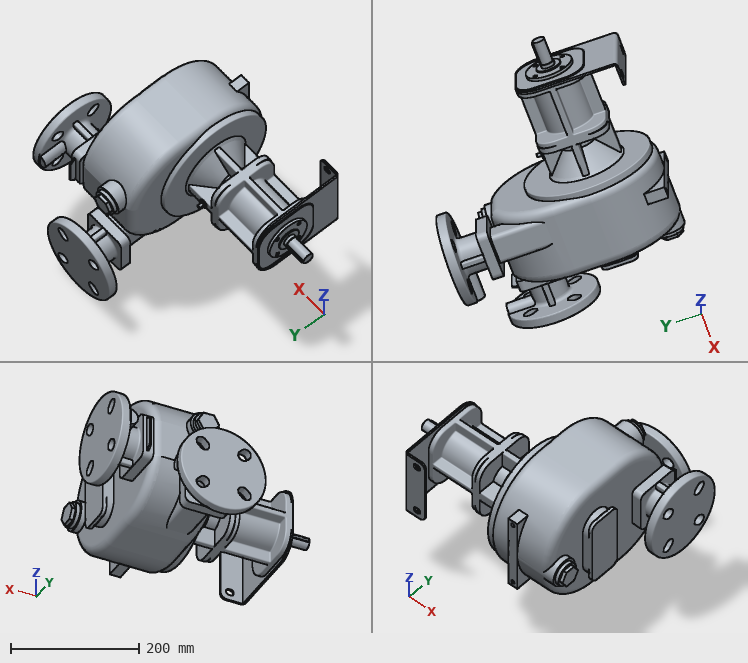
import cadquery as cq
import math


casing_radius = 110.5
casing_front_x = 229.8
casing_back_x = 353.0
casing_edge_radius = 14.5
casing_upper_arc_y = 58.5
casing_lower_arc_y = 63.5
casing_flat_y = 166.0

cover_radius = 104.5
cover_front_x = 221.0
cover_edge_radius = 1.5
cover_overlap = 4.3

shaft_radius = 9.8
key_length = 37.0
key_width = 5.0
key_start_x = 1.5
key_height = 11.5
collar_radius = 11.0
collar_front_x = 39.0
seal_radius = 20.0
seal_front_x = 45.0
cap_radius = 38.5
cap_front_x = 47.2
cap_screw_offset = 22.35
cap_screw_radius = 3.5
cap_screw_depth = 4.3

housing_half = 58.0
housing_front_x = 52.5
housing_edge_round = 2.0
end_plate_corner_radius = 32.0
end_plate_chamfer = 2.5
end_plate_back_x = 66.5
barrel_radius = 38.7
barrel_rib_width = 9.8
middle_plate_front_x = 146.5
middle_plate_joint_x = 154.5
middle_plate_front_corner_radius = 30.0
middle_plate_back_corner_radius = 26.5
middle_plate_back_x = 164.0
neck_radius = 28.0
cone_start_x = 182.5
cone_end_x = 216.5
cone_end_radius = 56.5
cone_foot_radius = 61.5
upright_rib_width = 10.5
level_rib_width = 19.5
edge_margin = 0.5

nipple_x = 182.0
nipple_base_radius = 7.2
nipple_base_height = 3.0
nipple_stem_radius = 3.0
nipple_height = 10.5

bracket_front_x = 53.5
bracket_thickness = 3.5
bracket_half_height = 64.5
bracket_corner_radius = 38.5
bracket_bend_radius = 6.5
foot_y = -110.5
foot_end_x = 95.7
foot_corner_radius = 10.0
foot_slot_x = 79.5
foot_slot_z = 49.8
foot_slot_length = 13.5
foot_slot_width = 11.0

bar_front_x = 269.8
bar_back_x = 288.5
bar_top_z = 69.8
bar_bottom_z = -79.5
bar_inner_y = -76.5
bar_hole_inset = 9.5
bar_hole_radius = 3.5
bar_hole_depth = 17.0

flange_radius = 74.5
flange_thickness = 16.0
flange_edge_radius = 2.0
flange_bolt_circle_radius = 51.5
flange_bolt_count = 4
flange_slot_length = 24.3
flange_slot_width = 18.0
port_neck_radius = 29.8
port_neck_length = 38.0
port_flare = 6.0
port_start_fillet = 2.5
port_rib_half_span = 39.5
port_rib_width = 9.5
port_rib_round = 2.0
gauge_lug_radius = 14.0
gauge_lug_inset = 1.5
pad_width = 80.0
pad_height = 81.0
pad_thickness = 18.5
pad_corner_radius = 10.0

suction_face_x = 425.5
suction_y = 126.0
suction_z = -7.5
flap_tab_x = 362.5
flap_tab_thickness = 3.0
flap_tab_end_y = 176.5
flap_tab_height = 61.3
flap_tab_chamfer = 7.2

discharge_face_y = 241.3
discharge_x = 269.0
discharge_z = -88.0
duct_width = 48.5
duct_top_z = -54.0
duct_bottom_z = -109.5
duct_start_y = 61.0
duct_top_radius = 18.0
duct_bottom_radius = 7.5

plug_boss_radius = 25.0
plug_collar_radius = 21.0
plug_collar_length = 7.0
plug_hex_across_corners = 36.5
plug_hex_length = 6.5
fill_x = 269.8
fill_z = 29.0
fill_boss_end_y = 178.5
fill_boss_length = 42.5
drain_y = -85.5
drain_z = -7.5
drain_boss_end_x = 363.5
drain_boss_length = 85.0

back_pad_width = 59.5
back_pad_height = 132.0
back_pad_end_x = 366.0
back_plate_height = 129.8
back_plate_end_x = 372.5
back_plate_corner_radius = 12.0


def x_plane(x, y=0, z=0):
    """Workplane facing +X, local axes along +Y and +Z."""
    return cq.Workplane(cq.Plane(origin=(x, y, z), xDir=(0, 1, 0), normal=(1, 0, 0)))


def y_plane(x, y, z):
    """Workplane facing +Y, local axes along +X and -Z."""
    return cq.Workplane(cq.Plane(origin=(x, y, z), xDir=(1, 0, 0), normal=(0, 1, 0)))


def shaft_disc(radius, start_x, end_x):
    return x_plane(start_x).circle(radius).extrude(end_x - start_x)


def box_between(low, high):
    sizes = [b - a for a, b in zip(low, high)]
    return cq.Workplane("XY").box(*sizes, centered=False).translate(low)


def point_on_circle(centre_y, angle):
    return (
        centre_y + casing_radius * math.cos(angle),
        casing_radius * math.sin(angle),
    )


def make_casing():
    upper_angle = math.acos((casing_flat_y - casing_upper_arc_y) / casing_radius)
    lower_angle = -math.acos((casing_flat_y - casing_lower_arc_y) / casing_radius)
    upper_middle = (upper_angle + math.pi / 2) / 2
    lower_middle = (lower_angle - math.pi / 2) / 2
    body = (
        x_plane(casing_front_x)
        .moveTo(0, -casing_radius)
        .threePointArc((-casing_radius, 0), (0, casing_radius))
        .lineTo(casing_upper_arc_y, casing_radius)
        .threePointArc(
            point_on_circle(casing_upper_arc_y, upper_middle),
            point_on_circle(casing_upper_arc_y, upper_angle),
        )
        .lineTo(*point_on_circle(casing_lower_arc_y, lower_angle))
        .threePointArc(
            point_on_circle(casing_lower_arc_y, lower_middle),
            (casing_lower_arc_y, -casing_radius),
        )
        .close()
        .extrude(casing_back_x - casing_front_x)
    )
    return body.faces("<X or >X").edges().fillet(casing_edge_radius)


def make_cover():
    disc = shaft_disc(cover_radius, cover_front_x, casing_front_x + cover_overlap)
    return disc.faces("<X").edges().fillet(cover_edge_radius)


def make_shaft_and_cap():
    shaft = shaft_disc(shaft_radius, 0, collar_front_x)
    key = box_between(
        (key_start_x, 0, -key_width / 2),
        (key_start_x + key_length, key_height, key_width / 2),
    )
    collar = shaft_disc(collar_radius, collar_front_x, seal_front_x)
    seal = shaft_disc(seal_radius, seal_front_x, cap_front_x)
    cap = shaft_disc(cap_radius, cap_front_x, housing_front_x)
    screw_holes = (
        x_plane(cap_front_x)
        .rect(2 * cap_screw_offset, 2 * cap_screw_offset, forConstruction=True)
        .vertices()
        .circle(cap_screw_radius)
        .extrude(cap_screw_depth)
    )
    return shaft.union(key).union(collar).union(seal).union(cap.cut(screw_holes))


def housing_plate(start_x, end_x, corner_radius):
    plate = x_plane(start_x).rect(2 * housing_half, 2 * housing_half).extrude(end_x - start_x)
    return plate.edges("|X").fillet(corner_radius)


def rounded_rib(start_x, end_x, size_y, size_z):
    rib = x_plane(start_x).rect(size_y, size_z).extrude(end_x - start_x)
    return rib.edges("|X").fillet(housing_edge_round)


def make_barrel():
    barrel = shaft_disc(barrel_radius, end_plate_back_x, middle_plate_front_x)
    length = middle_plate_front_x - end_plate_back_x
    upright_rib = x_plane(end_plate_back_x).rect(barrel_rib_width, 2 * housing_half).extrude(length)
    level_rib = x_plane(end_plate_back_x).rect(2 * housing_half, barrel_rib_width).extrude(length)
    return barrel.union(upright_rib).union(level_rib)


def make_cone():
    profile = [
        (middle_plate_back_x, 0),
        (middle_plate_back_x, neck_radius),
        (cone_start_x, neck_radius),
        (cone_end_x, cone_end_radius),
        (cover_front_x, cone_foot_radius),
        (cover_front_x, 0),
    ]
    cone = cq.Workplane("XY").polyline(profile).close().revolve(360, (0, 0, 0), (1, 0, 0))
    upright_rib = rounded_rib(
        middle_plate_joint_x, cover_front_x, upright_rib_width, 2 * housing_half
    )
    level_rib = rounded_rib(
        middle_plate_joint_x, cover_front_x, 2 * housing_half, level_rib_width
    )
    return cone.union(upright_rib).union(level_rib)


def round_between(body, start_x, end_x):
    """Round every edge whose middle lies between two X positions."""
    reach = 2 * housing_half
    region = cq.selectors.BoxSelector((start_x, -reach, -reach), (end_x, reach, reach))
    return body.edges(region).fillet(housing_edge_round)


def make_housing():
    end_plate = housing_plate(housing_front_x, end_plate_back_x, end_plate_corner_radius)
    end_plate = end_plate.faces("<X").chamfer(end_plate_chamfer)
    middle_front = housing_plate(
        middle_plate_front_x, middle_plate_joint_x, middle_plate_front_corner_radius
    )
    middle_back = housing_plate(
        middle_plate_joint_x, middle_plate_back_x, middle_plate_back_corner_radius
    )
    body = end_plate.union(make_barrel()).union(middle_front)
    body = round_between(
        body, end_plate_back_x - edge_margin, middle_plate_front_x + edge_margin
    )
    return body.union(middle_back).union(make_cone())


def make_nipple():
    seat = y_plane(nipple_x, housing_half, 0)
    base = seat.circle(nipple_base_radius).extrude(nipple_base_height)
    return base.union(seat.circle(nipple_stem_radius).extrude(nipple_height))


def make_bracket():
    back_x = bracket_front_x + bracket_thickness
    upright = box_between(
        (bracket_front_x, foot_y, -bracket_half_height),
        (back_x, housing_half, bracket_half_height),
    )
    upright = upright.edges("|X and >Y").fillet(bracket_corner_radius)
    foot = box_between(
        (bracket_front_x, foot_y, -bracket_half_height),
        (foot_end_x, foot_y + bracket_thickness, bracket_half_height),
    )
    foot = foot.edges("|Y and >X").fillet(foot_corner_radius)
    slots = (
        y_plane(foot_slot_x, foot_y, 0)
        .pushPoints([(0, -foot_slot_z), (0, foot_slot_z)])
        .slot2D(foot_slot_length, foot_slot_width)
        .extrude(bracket_thickness)
    )
    sheet = upright.union(foot).cut(slots)
    return sheet.edges("|Z and <X and <Y").fillet(bracket_bend_radius)


def make_bar():
    bar = box_between(
        (bar_front_x, foot_y, bar_bottom_z), (bar_back_x, bar_inner_y, bar_top_z)
    )
    middle_x = (bar_front_x + bar_back_x) / 2
    for hole_z in (bar_bottom_z + bar_hole_inset, bar_top_z - bar_hole_inset):
        hole = y_plane(middle_x, foot_y, hole_z).circle(bar_hole_radius).extrude(bar_hole_depth)
        bar = bar.cut(hole)
    return bar


def make_port(face):
    """Flanged neck whose outer face lies on the given workplane; the gauge lug points to local +X."""
    flange_back = face.workplane(offset=-flange_thickness)
    neck_start = face.workplane(offset=-flange_thickness - port_neck_length)
    along_neck = cq.selectors.ParallelDirSelector(face.plane.zDir)
    pad = neck_start.rect(pad_width, pad_height).extrude(-pad_thickness)
    pad = pad.edges(along_neck).fillet(pad_corner_radius)
    neck = neck_start.circle(port_neck_radius).extrude(port_neck_length)
    ribs = neck_start.rect(port_rib_width, 2 * port_rib_half_span).extrude(port_neck_length)
    ribs = ribs.edges(along_neck).fillet(port_rib_round)
    flange = flange_back.circle(flange_radius).extrude(flange_thickness)
    flange = flange.edges().fillet(flange_edge_radius)
    body = neck.union(flange).union(pad)
    start_edge, end_edge = (
        body.edges("%CIRCLE")
        .filter(lambda edge: math.isclose(edge.radius(), port_neck_radius))
        .sort(lambda edge: (edge.Center() - neck_start.plane.origin).Length)
        .vals()
    )
    body = body.newObject([start_edge]).fillet(port_start_fillet)
    body = body.newObject([end_edge]).fillet(port_flare)
    lug_plane = cq.Plane(
        origin=flange_back.plane.toWorldCoords((0, 0, gauge_lug_inset)),
        xDir=face.plane.yDir,
        normal=face.plane.xDir,
    )
    lug = cq.Workplane(lug_plane).circle(gauge_lug_radius).extrude(flange_radius - flange_edge_radius)
    bolt_slots = (
        face.polarArray(flange_bolt_circle_radius, 45, 360, flange_bolt_count)
        .slot2D(flange_slot_length, flange_slot_width)
        .extrude(-flange_thickness)
    )
    return body.union(ribs).union(lug).cut(bolt_slots)


def make_suction():
    port = make_port(x_plane(suction_face_x, suction_y, suction_z))
    flap_tab = box_between(
        (flap_tab_x, suction_y, suction_z - flap_tab_height / 2),
        (flap_tab_x + flap_tab_thickness, flap_tab_end_y, suction_z + flap_tab_height / 2),
    )
    return port.union(flap_tab.edges("|X and >Y").chamfer(flap_tab_chamfer))


def make_discharge():
    port = make_port(y_plane(discharge_x, discharge_face_y, discharge_z))
    duct_end_y = discharge_face_y - flange_thickness - port_neck_length - pad_thickness
    duct = box_between(
        (discharge_x - duct_width / 2, duct_start_y, duct_bottom_z),
        (discharge_x + duct_width / 2, duct_end_y, duct_top_z),
    )
    duct = duct.edges("|Y and >Z").fillet(duct_top_radius)
    duct = duct.edges("|Y and <Z").fillet(duct_bottom_radius)
    return port.union(duct)


def make_plug(boss_face, boss_length):
    """Round boss ending on the given workplane, closed by a collared hexagon plug."""
    boss = boss_face.circle(plug_boss_radius).extrude(-boss_length)
    collar = boss_face.circle(plug_collar_radius).extrude(plug_collar_length)
    hexagon = boss_face.polygon(6, plug_hex_across_corners).extrude(
        plug_collar_length + plug_hex_length
    )
    return boss.union(collar).union(hexagon)


def make_back_port():
    pad = (
        x_plane(casing_back_x, 0, suction_z)
        .slot2D(back_pad_height, back_pad_width, 90)
        .extrude(back_pad_end_x - casing_back_x)
    )
    plate = (
        x_plane(back_pad_end_x, 0, suction_z)
        .rect(back_pad_width, back_plate_height)
        .extrude(back_plate_end_x - back_pad_end_x)
    )
    return pad.union(plate.edges("|X").fillet(back_plate_corner_radius))


fill_plug = make_plug(y_plane(fill_x, fill_boss_end_y, fill_z), fill_boss_length)
drain_plug = make_plug(x_plane(drain_boss_end_x, drain_y, drain_z), drain_boss_length)

result = make_casing()
for component in (
    make_cover(),
    make_housing(),
    make_shaft_and_cap(),
    make_nipple(),
    make_bracket(),
    make_bar(),
    make_suction(),
    make_discharge(),
    fill_plug,
    drain_plug,
    make_back_port(),
):
    result = result.union(component)